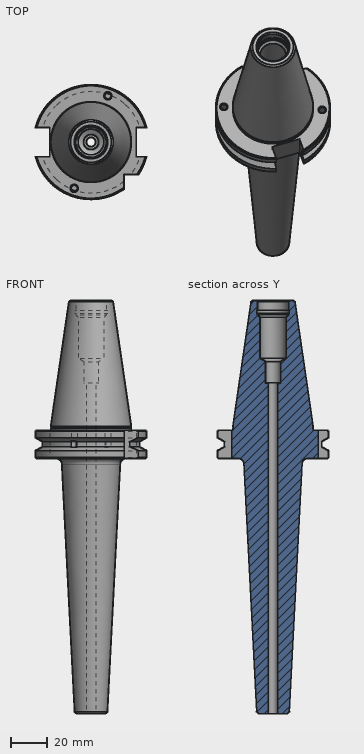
import cadquery as cq
import math

TOTAL_HEIGHT = 228.5
TAPER_LENGTH = 68.5
GAUGE_Z = TOTAL_HEIGHT - TAPER_LENGTH
NECK_HEIGHT = 3.2
FLANGE_TOP_Z = GAUGE_Z - NECK_HEIGHT
FLANGE_HEIGHT = 15.8
FLANGE_BOTTOM_Z = FLANGE_TOP_Z - FLANGE_HEIGHT

GAUGE_RADIUS = 22.2
TAPER_RATIO = 7 / 24
SHANK_TOP_RADIUS = GAUGE_RADIUS - TAPER_LENGTH * TAPER_RATIO / 2
SHANK_CHAMFER = 1.0

TAPER_RUNOUT = 1.1
RELIEF_DEPTH = 0.2
RELIEF_WIDTH = 1.0

FLANGE_RADIUS = 31.7
FLANGE_CHAMFER = 0.7
GROOVE_DROP = 11.0
GROOVE_Z = GAUGE_Z - GROOVE_DROP
GROOVE_WIDTH = 7.0
GROOVE_RADIUS = 28.0
GROOVE_FLANK_ANGLE = 30.0

SLOT_WIDTH = 16.0
LEFT_SLOT_X = -22.8
RIGHT_SLOT_X = 25.1
NOTCH_X = 18.3
NOTCH_Y = -18.0

STEM_TOP_RADIUS = 16.2
STEM_END_RADIUS = 9.1
STEM_FILLET = 3.0
STEM_CHAMFER = 1.1

BORE_RADIUS = 8.5
BORE_CHAMFER = 0.8
BORE_DEPTH = 8.0
BORE_GROOVE_RADIUS = 9.0
BORE_GROOVE_START = 5.5
BORE_GROOVE_END = 7.3
THREAD_CORE_RADIUS = 7.0
THREAD_DEPTH = 32.0
DRILL_POINT_ANGLE = 30.0
PILOT_RADIUS = 4.0
PILOT_CHAMFER = 0.5
PILOT_DEPTH = 45.7
THROUGH_RADIUS = 2.5

COOLANT_RADIUS = 1.71
COOLANT_CHAMFER = 0.5
COOLANT_CHAMFER_ANGLE = 45.0
COOLANT_CIRCLE_RADIUS = 27.2
COOLANT_ANGLES = (70.0, 250.0)
COOLANT_DEPTH = 9.4


def body():
    """Taper, neck, grooved flange and stem as one solid of revolution."""
    flank_rise = (FLANGE_RADIUS - GROOVE_RADIUS) * math.tan(math.radians(GROOVE_FLANK_ANGLE))
    groove_half = GROOVE_WIDTH / 2
    groove_floor_half = groove_half - flank_rise
    runout_z = GAUGE_Z - TAPER_RUNOUT
    runout_radius = GAUGE_RADIUS + TAPER_RUNOUT * TAPER_RATIO / 2
    relief_bottom_z = runout_z - RELIEF_WIDTH
    relief_radius = runout_radius - RELIEF_DEPTH
    fillet_z = FLANGE_BOTTOM_Z - STEM_FILLET
    fillet_mid_offset = STEM_FILLET * (1 - math.sqrt(0.5))
    chamfer_radius = FLANGE_RADIUS - FLANGE_CHAMFER
    return (
        cq.Workplane("XZ")
        .moveTo(0, 0)
        .lineTo(STEM_END_RADIUS - STEM_CHAMFER, 0)
        .lineTo(STEM_END_RADIUS, STEM_CHAMFER)
        .lineTo(STEM_TOP_RADIUS, fillet_z)
        .threePointArc(
            (STEM_TOP_RADIUS + fillet_mid_offset, FLANGE_BOTTOM_Z - fillet_mid_offset),
            (STEM_TOP_RADIUS + STEM_FILLET, FLANGE_BOTTOM_Z),
        )
        .lineTo(chamfer_radius, FLANGE_BOTTOM_Z)
        .lineTo(FLANGE_RADIUS, FLANGE_BOTTOM_Z + FLANGE_CHAMFER)
        .lineTo(FLANGE_RADIUS, GROOVE_Z - groove_half)
        .lineTo(GROOVE_RADIUS, GROOVE_Z - groove_floor_half)
        .lineTo(GROOVE_RADIUS, GROOVE_Z + groove_floor_half)
        .lineTo(FLANGE_RADIUS, GROOVE_Z + groove_half)
        .lineTo(FLANGE_RADIUS, FLANGE_TOP_Z - FLANGE_CHAMFER)
        .lineTo(chamfer_radius, FLANGE_TOP_Z)
        .lineTo(runout_radius, FLANGE_TOP_Z)
        .lineTo(runout_radius, relief_bottom_z)
        .lineTo(relief_radius, relief_bottom_z + RELIEF_DEPTH)
        .lineTo(relief_radius, runout_z - RELIEF_DEPTH)
        .lineTo(runout_radius, runout_z)
        .lineTo(SHANK_TOP_RADIUS + SHANK_CHAMFER * TAPER_RATIO / 2, TOTAL_HEIGHT - SHANK_CHAMFER)
        .lineTo(SHANK_TOP_RADIUS - SHANK_CHAMFER, TOTAL_HEIGHT)
        .lineTo(0, TOTAL_HEIGHT)
        .close()
        .revolve(360, (0, 0, 0), (0, 1, 0))
    )


def bore():
    """Stepped bore that enters from the shank top and runs through to the stem end."""
    groove_top = TOTAL_HEIGHT - BORE_GROOVE_START
    groove_bottom = TOTAL_HEIGHT - BORE_GROOVE_END
    bore_floor = TOTAL_HEIGHT - BORE_DEPTH
    thread_floor = TOTAL_HEIGHT - THREAD_DEPTH
    pilot_mouth_radius = PILOT_RADIUS + PILOT_CHAMFER
    drill_slope = math.tan(math.radians(DRILL_POINT_ANGLE))
    thread_start = bore_floor - (BORE_RADIUS - THREAD_CORE_RADIUS)
    pilot_mouth = thread_floor - (THREAD_CORE_RADIUS - pilot_mouth_radius) * drill_slope
    pilot_floor = TOTAL_HEIGHT - PILOT_DEPTH
    return (
        cq.Workplane("XZ")
        .moveTo(0, 0)
        .lineTo(THROUGH_RADIUS, 0)
        .lineTo(THROUGH_RADIUS, pilot_floor)
        .lineTo(PILOT_RADIUS, pilot_floor)
        .lineTo(PILOT_RADIUS, pilot_mouth - PILOT_CHAMFER)
        .lineTo(pilot_mouth_radius, pilot_mouth)
        .lineTo(THREAD_CORE_RADIUS, thread_floor)
        .lineTo(THREAD_CORE_RADIUS, thread_start)
        .lineTo(BORE_RADIUS, bore_floor)
        .lineTo(BORE_RADIUS, groove_bottom)
        .lineTo(BORE_GROOVE_RADIUS, groove_bottom)
        .lineTo(BORE_GROOVE_RADIUS, groove_top)
        .lineTo(BORE_RADIUS, groove_top)
        .lineTo(BORE_RADIUS, TOTAL_HEIGHT - BORE_CHAMFER)
        .lineTo(BORE_RADIUS + BORE_CHAMFER, TOTAL_HEIGHT)
        .lineTo(0, TOTAL_HEIGHT)
        .close()
        .revolve(360, (0, 0, 0), (0, 1, 0))
    )


def flange_cut(x_min, x_max, y_min, y_max):
    """Rectangular cutter over the full flange height."""
    return cq.Workplane("XY").box(
        x_max - x_min, y_max - y_min, FLANGE_HEIGHT, centered=False
    ).translate((x_min, y_min, FLANGE_BOTTOM_Z))


def drive_slots():
    """Two opposed drive slots of unequal depth."""
    half = SLOT_WIDTH / 2
    left = flange_cut(-FLANGE_RADIUS, LEFT_SLOT_X, -half, half)
    right = flange_cut(RIGHT_SLOT_X, FLANGE_RADIUS, -half, half)
    return left.union(right)


def orientation_notch():
    """Square notch in the flange rim."""
    return flange_cut(NOTCH_X, FLANGE_RADIUS, -FLANGE_RADIUS, NOTCH_Y)


def coolant_holes():
    """Chamfered blind holes from the flange top that break into the groove."""
    points = [
        (
            COOLANT_CIRCLE_RADIUS * math.cos(math.radians(angle)),
            COOLANT_CIRCLE_RADIUS * math.sin(math.radians(angle)),
        )
        for angle in COOLANT_ANGLES
    ]
    top = cq.Workplane("XY", origin=(0, 0, FLANGE_TOP_Z)).pushPoints(points)
    shafts = top.circle(COOLANT_RADIUS).extrude(-COOLANT_DEPTH)
    mouths = top.circle(COOLANT_RADIUS + COOLANT_CHAMFER).extrude(
        -COOLANT_CHAMFER, taper=COOLANT_CHAMFER_ANGLE
    )
    return shafts.union(mouths)


result = body().cut(bore()).cut(drive_slots()).cut(orientation_notch()).cut(coolant_holes())